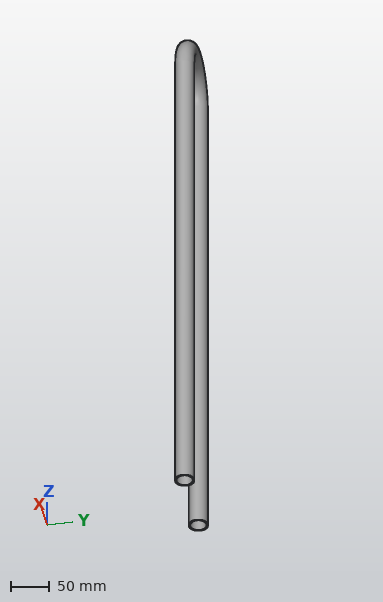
import cadquery as cq

tube_diameter = 25.0
bore_diameter = 21.0
overall_width = 125.0
overall_height = 717.5

bend_radius = (overall_width - tube_diameter) / 2
leg_length = overall_height - overall_width / 2


def hairpin_path():
    """Centreline in the XZ plane, with the leg ends at Z = 0."""
    return (
        cq.Workplane("XZ")
        .moveTo(-bend_radius, 0)
        .lineTo(-bend_radius, leg_length)
        .threePointArc((0, leg_length + bend_radius), (bend_radius, leg_length))
        .lineTo(bend_radius, 0)
    )


def swept_round(diameter):
    """Solid round of the given diameter following the hairpin centreline."""
    section = cq.Workplane("XY").center(-bend_radius, 0).circle(diameter / 2)
    return section.sweep(hairpin_path())


result = swept_round(tube_diameter).cut(swept_round(bore_diameter))